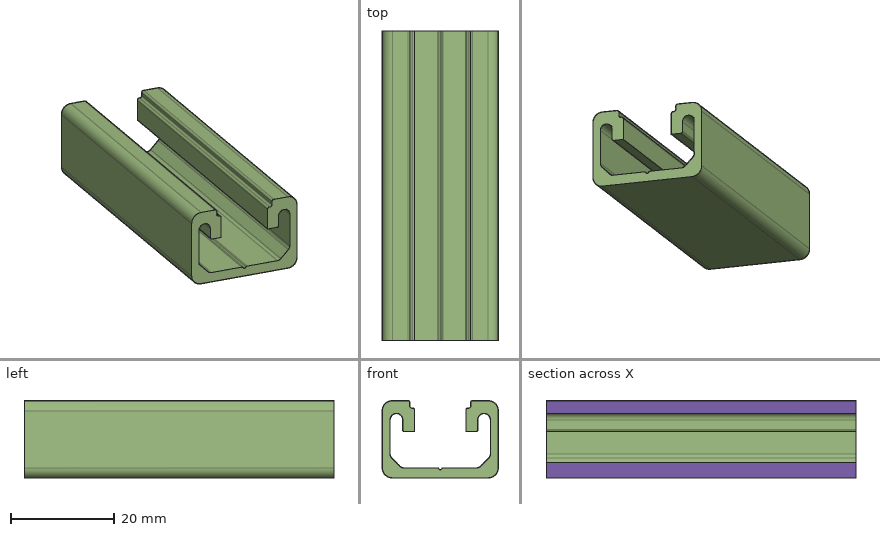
import cadquery as cq

length = 60.0
width = 22.5
height = 15.0
corner_radius = 2.0

side_wall = 1.55
floor_thickness = 2.0
inner_chamfer = 2.2
chamfer_blend_radius = 1.0

slot_width = 2.4
slot_top = 12.5
opening_width = 9.9
lip_bottom = 9.0
step_width = 0.9
step_depth = 1.45
step_undercut = 0.05
step_radius = 0.4
lip_bottom_radius = 0.35

groove_width = 0.9
groove_depth = 0.45
groove_mouth_radius = 0.3
groove_bottom_radius = 0.1

half_width = width / 2
inner_x = half_width - side_wall
slot_radius = slot_width / 2
slot_center_x = inner_x - slot_radius
slot_spring_z = slot_top - slot_radius
lip_x = opening_width / 2
step_x = lip_x + step_width
step_root_x = step_x + step_undercut
step_z = height - step_depth


def right_half_profile():
    """Right half of the channel section, with sharp corners except the slot end."""
    return (
        cq.Workplane("XZ")
        .moveTo(0, 0)
        .lineTo(half_width, 0)
        .lineTo(half_width, height)
        .lineTo(step_x, height)
        .lineTo(step_root_x, step_z)
        .lineTo(lip_x, step_z)
        .lineTo(lip_x, lip_bottom)
        .lineTo(inner_x - slot_width, lip_bottom)
        .lineTo(inner_x - slot_width, slot_spring_z)
        .threePointArc((slot_center_x, slot_top), (inner_x, slot_spring_z))
        .lineTo(inner_x, floor_thickness + inner_chamfer)
        .lineTo(inner_x - inner_chamfer, floor_thickness)
        .lineTo(groove_width / 2, floor_thickness)
        .lineTo(0, floor_thickness - groove_depth)
        .close()
    )


def round_edges(body, points, radius):
    """Round the lengthwise edges that pass through the given (x, z) points."""
    for x, z in points:
        edge = cq.selectors.NearestToPointSelector((x, 0, z))
        body = body.edges("|Y").edges(edge).fillet(radius)
    return body


half = right_half_profile().extrude(length / 2, both=True)
half = round_edges(half, [(half_width, 0), (half_width, height)], corner_radius)
chamfer_ends = [
    (inner_x, floor_thickness + inner_chamfer),
    (inner_x - inner_chamfer, floor_thickness),
]
half = round_edges(half, chamfer_ends, chamfer_blend_radius)
half = round_edges(half, [(step_x, height), (step_root_x, step_z), (lip_x, step_z)], step_radius)
half = round_edges(half, [(inner_x - slot_width, lip_bottom)], lip_bottom_radius)
half = round_edges(half, [(groove_width / 2, floor_thickness)], groove_mouth_radius)

channel = half.union(half.mirror("YZ")).clean()
result = round_edges(channel, [(0, floor_thickness - groove_depth)], groove_bottom_radius)